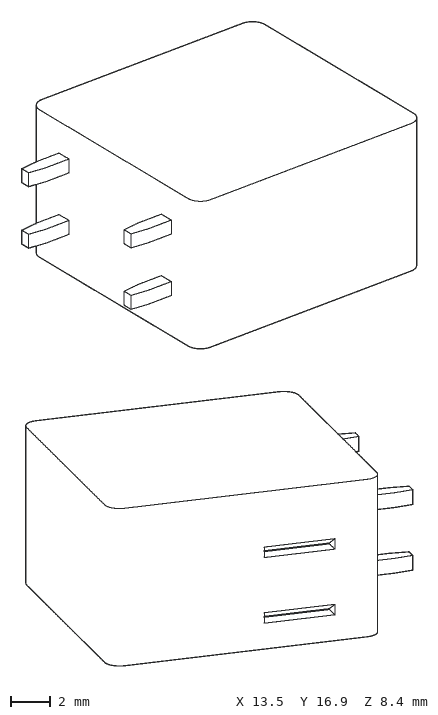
import cadquery as cq

BODY_WIDTH = 13.5
OVERALL_LENGTH = 16.9
BODY_HEIGHT = 8.4
CORNER_RADIUS = 0.8

PIN_LENGTH = 2.48
PIN_SIZE = 0.8
PIN_TIP_WIDTH = 0.55
PIN_TAPER_LENGTH = 1.0
PIN_CENTRES_X = (-4.0, 4.2)
LOWER_PIN_Z = 2.7
ROW_PITCH = 3.5

SLOT_LENGTH = 3.73
SLOT_HEIGHT = 0.55
SLOT_DEPTH = 0.81
SLOT_BACK_HEIGHT = 0.05
SLOT_SETBACK = 2.5
LOWER_SLOT_FLOOR_Z = 1.39

BODY_LENGTH = OVERALL_LENGTH - PIN_LENGTH
FRONT_Y = -BODY_LENGTH / 2
LEFT_X = -BODY_WIDTH / 2


def make_body():
    block = cq.Workplane("XY").box(BODY_WIDTH, BODY_LENGTH, BODY_HEIGHT, centered=(True, True, False))
    return block.edges("|Z").fillet(CORNER_RADIUS)


def make_pin(centre_x, centre_z):
    """Bar with its root on the front face and its tapered tip pointing to -Y."""
    tip_y = FRONT_Y - PIN_LENGTH
    shoulder_y = tip_y + PIN_TAPER_LENGTH
    half_width = PIN_SIZE / 2
    half_tip = PIN_TIP_WIDTH / 2
    outline = [
        (centre_x - half_width, FRONT_Y),
        (centre_x - half_width, shoulder_y),
        (centre_x - half_tip, tip_y),
        (centre_x + half_tip, tip_y),
        (centre_x + half_width, shoulder_y),
        (centre_x + half_width, FRONT_Y),
    ]
    bottom = cq.Workplane("XY").workplane(offset=centre_z - PIN_SIZE / 2)
    return bottom.polyline(outline).close().extrude(PIN_SIZE)


def make_slot(floor_z):
    """Pocket whose ceiling slopes down from the left face to a low back wall."""
    ceiling_z = floor_z + SLOT_HEIGHT
    profile = [
        (LEFT_X, floor_z),
        (LEFT_X, ceiling_z),
        (LEFT_X + SLOT_DEPTH, floor_z + SLOT_BACK_HEIGHT),
        (LEFT_X + SLOT_DEPTH, floor_z),
    ]
    near_end = cq.Workplane("XZ", origin=(0, FRONT_Y + SLOT_SETBACK, 0))
    return near_end.polyline(profile).close().extrude(-SLOT_LENGTH)


result = make_body()
for row_rise in (0, ROW_PITCH):
    for pin_x in PIN_CENTRES_X:
        result = result.union(make_pin(pin_x, LOWER_PIN_Z + row_rise))
    result = result.cut(make_slot(LOWER_SLOT_FLOOR_Z + row_rise))